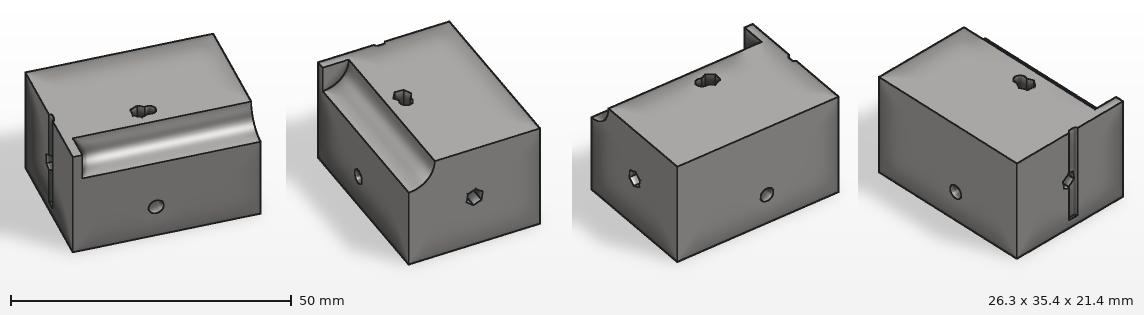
import cadquery as cq

width = 26.3
length = 35.35
height = 21.35

rebate_radius = 5.23
end_wall = 1.8

groove_x = 14.05
groove_width = 2.12
groove_floor_width = 1.05
groove_depth = 0.53
groove_bottom = 1.8
groove_radius = 0.65

hex_size = 3.5
front_hex_x = 13.08
front_hex_z = 10.55
front_hex_turn = 38
top_hex_x = 17.43
top_hex_y = 15.62
top_hex_turn = -5

top_round_diameter = 2.4
top_round_x = 17.57
top_round_y = 17.35
side_hole_diameter = 2.83
side_hole_y = 15.7
side_hole_z = 6.35


def edge_rebate():
    return (
        cq.Workplane("XZ", origin=(width, length, height))
        .circle(rebate_radius)
        .extrude(length - end_wall)
    )


def front_groove():
    half_width = groove_width / 2
    half_floor = groove_floor_width / 2
    return (
        cq.Workplane("XY", origin=(groove_x, 0, groove_bottom))
        .moveTo(-half_width, 0)
        .radiusArc((-half_floor, groove_depth), groove_radius)
        .lineTo(half_floor, groove_depth)
        .radiusArc((half_width, 0), groove_radius)
        .close()
        .extrude(height - groove_bottom)
    )


def front_hex_hole():
    return (
        cq.Workplane("XZ", origin=(front_hex_x, length, front_hex_z))
        .transformed(rotate=(0, 0, front_hex_turn))
        .polygon(6, hex_size)
        .extrude(length)
    )


def top_keyhole():
    hexagon = (
        cq.Workplane("XY", origin=(top_hex_x, top_hex_y, 0))
        .transformed(rotate=(0, 0, top_hex_turn))
        .polygon(6, hex_size)
        .extrude(height)
    )
    round_hole = (
        cq.Workplane("XY", origin=(top_round_x, top_round_y, 0))
        .circle(top_round_diameter / 2)
        .extrude(height)
    )
    return hexagon.union(round_hole)


def side_hole():
    return (
        cq.Workplane("YZ", origin=(0, side_hole_y, side_hole_z))
        .circle(side_hole_diameter / 2)
        .extrude(width)
    )


block = cq.Workplane("XY").box(width, length, height, centered=False)
result = (
    block.cut(edge_rebate())
    .cut(front_groove())
    .cut(front_hex_hole())
    .cut(top_keyhole())
    .cut(side_hole())
)